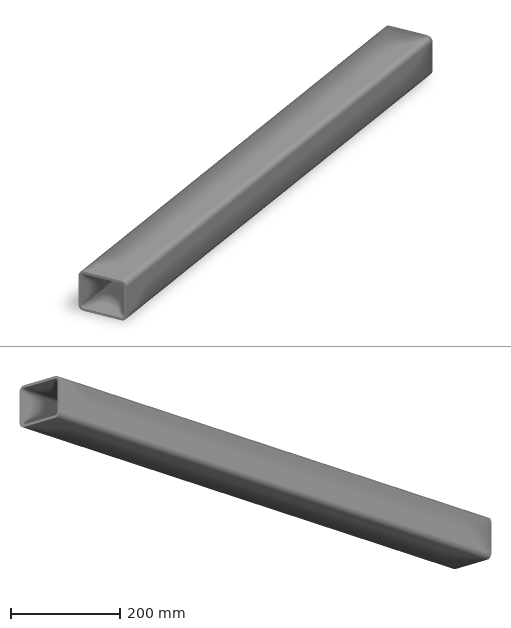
import cadquery as cq

length = 1150.0
width = 100.0
height = 80.0
wall = 5.1
outer_radius = 10.0
inner_radius = outer_radius - wall


def rounded_bar(bar_width, bar_height, corner_radius):
    """Solid bar centred on the origin with its four long edges rounded."""
    return cq.Workplane("XY").box(bar_width, length, bar_height).edges("|Y").fillet(corner_radius)


outside = rounded_bar(width, height, outer_radius)
bore = rounded_bar(width - 2 * wall, height - 2 * wall, inner_radius)

result = outside.cut(bore)